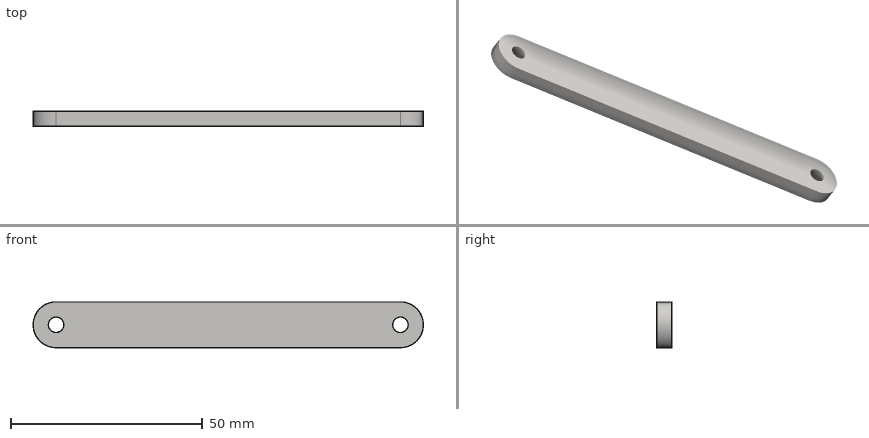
import cadquery as cq

length = 102.0
height = 12.0
thickness = 4.0
hole_diameter = 4.0

hole_spacing = length - height

bar = cq.Workplane("XZ").slot2D(length, height).extrude(thickness / 2, both=True)

pin_holes = (
    cq.Workplane("XZ")
    .pushPoints([(-hole_spacing / 2, 0), (hole_spacing / 2, 0)])
    .circle(hole_diameter / 2)
    .extrude(thickness, both=True)
)

result = bar.cut(pin_holes)